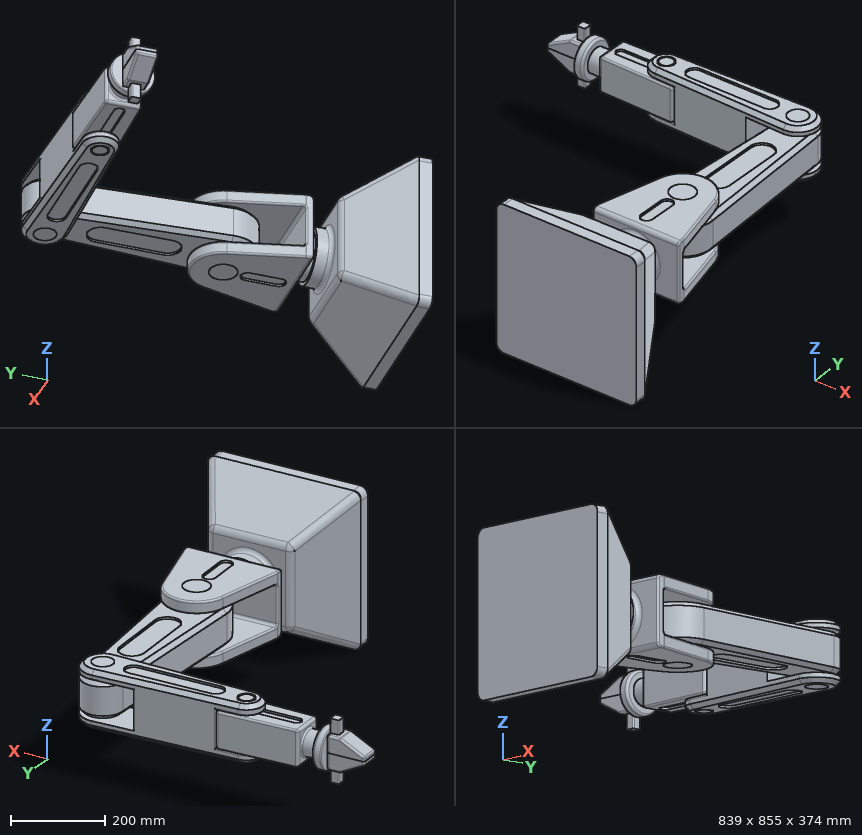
import cadquery as cq
import math


SHOULDER_Y = 404.0
ELBOW_Y = SHOULDER_Y + 400.0
WRIST_X = -350.5
WRIST_BACK_X = WRIST_X + 50.5
SHOULDER_R = 76.0
ELBOW_R = 855 - ELBOW_Y
WRIST_R = 40.0
SHOULDER_PIN_R = 31.0
ELBOW_PIN_R = 25.0
WRIST_PIN_R = 20.0
PIN_CHAMFER = 2.5
PANEL_DEPTH = 5.0

BASE_W = 374.0
PLATE_H = 30.0
CONE_TOP_W = 200.0
CONE_H = 150.5
BASE_FILLET = 20.0
COLLAR_R = 65.0
COLLAR_TOP_Y = 216.0
COLLAR_FILLET = 10.0

FORK_BOTTOM_Y = 240.0
FORK_HALF_W = 114.5
FORK_HALF_T = 79.5
FORK_GAP_HALF = 50.0
FORK_FLOOR = 19.0
FORK_FLOOR_FILLET = 7.0
FORK_BEND_R = 10.0
FORK_FILLET = 4.0
NECK_R = 56.0
NECK_FILLET = 10.0
FORK_PANEL_R = 15.0
FORK_PANEL_PITCH = 70.0
FORK_PANEL_DROP = 90.0

ARM_HALF_T = 44.5
ARM_CHAMFER = 10.0
ARM_PANEL_R = 30.0
ARM_PANEL_PITCH = 150.5

FOREARM_HALF_T = 69.0
ELBOW_GAP_HALF = 49.0
WRIST_GAP_FILLET = 4.0
FOREARM_CHAMFER = 10.0
ELBOW_WALL_X = -103.0
WRIST_WALL_X = WRIST_BACK_X
FOREARM_PANEL_R = 20.5
FOREARM_PANEL_PITCH = 200.0

WRIST_FRONT_X = WRIST_X - 150.0
WRIST_FRONT_HALF_W = 41.0
WRIST_BACK_HALF_W = 46.0
WRIST_END_FILLET = 7.0
WRIST_SIDE_FILLET = 4.0
WRIST_NECK_R = 31.0
WRIST_NECK_FILLET = 4.0
WRIST_PANEL_R = 12.0
WRIST_PANEL_START_X = WRIST_FRONT_X + 15.0

FLANGE_R = 50.5
FLANGE_T = 22.0
FLANGE_FACE_X = -560.0
FLANGE_FRONT_FILLET = 2.5
FLANGE_BACK_FILLET = 6.0

OVERALL_LENGTH_X = 839.0
TIP_X = BASE_W / 2 - OVERALL_LENGTH_X
TIP_HALF_H = 10.0
JAW_SHOULDER_X = -592.0
JAW_HALF_H = 41.0
JAW_W = 50.0
JAW_FILLET = 5.0
POST_W = 22.0
POST_TOP_Z = 75.0
POST_FILLET = 3.0

MARGIN = 1.0


def z_cylinder(x, y, radius, half_height):
    return cq.Workplane("XY").center(x, y).circle(radius).extrude(half_height, both=True)


def y_cylinder(radius, bottom, top):
    return cq.Workplane("XZ", origin=(0, bottom, 0)).circle(radius).extrude(bottom - top)


def x_cylinder(radius, start, end):
    return cq.Workplane("YZ", origin=(start, ELBOW_Y, 0)).circle(radius).extrude(end - start)


def box_between(x0, x1, y0, y1, half_height):
    return (
        cq.Workplane("XY")
        .center((x0 + x1) / 2, (y0 + y1) / 2)
        .rect(x1 - x0, y1 - y0)
        .extrude(half_height, both=True)
    )


def link(big_r, small_r, length, half_height):
    """Bar along +X: two round ends joined by their common tangents, big end at the origin."""
    lean = (big_r - small_r) / length
    rise = math.sqrt(1 - lean**2)
    profile = (
        cq.Workplane("XY")
        .moveTo(big_r * lean, big_r * rise)
        .threePointArc((-big_r, 0), (big_r * lean, -big_r * rise))
        .lineTo(length + small_r * lean, -small_r * rise)
        .threePointArc((length + small_r, 0), (length + small_r * lean, small_r * rise))
        .close()
    )
    return profile.extrude(half_height, both=True)


def cut_panels(body, x, y, pitch, radius, angle, half_height):
    """Cut a shallow round-ended recess into the +Z and -Z faces."""
    for z in (half_height, -half_height):
        recess = (
            cq.Workplane("XY", origin=(x, y, z))
            .slot2D(pitch + 2 * radius, 2 * radius, angle)
            .extrude(PANEL_DEPTH, both=True)
        )
        body = body.cut(recess)
    return body


def ring_at_y(radius, y):
    """Selector for the circular edge of a Y cylinder at height y."""
    reach = radius + MARGIN
    return cq.selectors.BoxSelector((-reach, y - MARGIN, -reach), (reach, y + MARGIN, reach))


def make_base():
    plate = cq.Workplane("XZ").rect(BASE_W, BASE_W).extrude(-PLATE_H).edges("|Y").fillet(BASE_FILLET)
    cone = (
        cq.Workplane("XZ", origin=(0, PLATE_H, 0))
        .rect(BASE_W, BASE_W)
        .workplane(offset=-CONE_H)
        .rect(CONE_TOP_W, CONE_TOP_W)
        .loft(ruled=True)
        .edges("not <Y")
        .fillet(BASE_FILLET)
    )
    cone_top = PLATE_H + CONE_H
    collar = y_cylinder(COLLAR_R, cone_top, COLLAR_TOP_Y)
    base = plate.union(cone).union(collar)
    return base.edges(ring_at_y(COLLAR_R, cone_top)).fillet(COLLAR_FILLET)


def make_fork():
    floor_top = FORK_BOTTOM_Y + FORK_FLOOR
    drop = SHOULDER_Y - floor_top
    reach = math.hypot(FORK_HALF_W, drop)
    tangent_angle = math.acos(SHOULDER_R / reach) - math.atan2(drop, FORK_HALF_W)
    tangent_x = SHOULDER_R * math.cos(tangent_angle)
    tangent_y = SHOULDER_Y + SHOULDER_R * math.sin(tangent_angle)
    fork = (
        cq.Workplane("XY")
        .moveTo(-FORK_HALF_W, FORK_BOTTOM_Y)
        .lineTo(FORK_HALF_W, FORK_BOTTOM_Y)
        .lineTo(FORK_HALF_W, floor_top)
        .lineTo(tangent_x, tangent_y)
        .threePointArc((0, SHOULDER_Y + SHOULDER_R), (-tangent_x, tangent_y))
        .lineTo(-FORK_HALF_W, floor_top)
        .close()
        .extrude(FORK_HALF_T, both=True)
        .edges("<Y and |X")
        .fillet(FORK_BEND_R)
    )
    gap_top = SHOULDER_Y + 2 * SHOULDER_R
    gap = (
        box_between(-FORK_HALF_W, FORK_HALF_W, floor_top, gap_top, FORK_GAP_HALF)
        .edges("<Y and |X")
        .fillet(FORK_FLOOR_FILLET)
    )
    floor_sides = cq.selectors.BoxSelector(
        (-FORK_HALF_W - MARGIN, FORK_BOTTOM_Y - MARGIN, -FORK_HALF_T),
        (FORK_HALF_W + MARGIN, floor_top + MARGIN, FORK_HALF_T),
    )
    arm_outlines = cq.selectors.StringSyntaxSelector("not |Z")
    fork = fork.cut(gap).edges("not |X").edges(floor_sides + arm_outlines).fillet(FORK_FILLET)
    fork = fork.union(y_cylinder(NECK_R, COLLAR_TOP_Y, FORK_BOTTOM_Y))
    fork = fork.edges(ring_at_y(NECK_R, FORK_BOTTOM_Y)).fillet(NECK_FILLET)
    fork = fork.cut(z_cylinder(0, SHOULDER_Y, SHOULDER_PIN_R, FORK_HALF_T))
    panel_y = SHOULDER_Y - FORK_PANEL_DROP
    return cut_panels(fork, 0, panel_y, FORK_PANEL_PITCH, FORK_PANEL_R, 90, FORK_HALF_T)


def make_upper_arm():
    arm = (
        link(SHOULDER_R, ELBOW_R, ELBOW_Y - SHOULDER_Y, ARM_HALF_T)
        .faces("<Z or >Z")
        .edges()
        .chamfer(ARM_CHAMFER)
        .rotate((0, 0, 0), (0, 0, 1), 90)
        .translate((0, SHOULDER_Y, 0))
    )
    arm = cut_panels(arm, 0, (SHOULDER_Y + ELBOW_Y) / 2, ARM_PANEL_PITCH, ARM_PANEL_R, 90, ARM_HALF_T)
    shoulder_pin = z_cylinder(0, SHOULDER_Y, SHOULDER_PIN_R, FORK_HALF_T)
    elbow_pin = z_cylinder(0, ELBOW_Y, ELBOW_PIN_R, FOREARM_HALF_T)
    return arm.union(shoulder_pin).union(elbow_pin)


def make_forearm():
    forearm = (
        link(ELBOW_R, WRIST_R, -WRIST_X, FOREARM_HALF_T)
        .faces("<Z or >Z")
        .edges()
        .chamfer(FOREARM_CHAMFER)
        .rotate((0, 0, 0), (0, 0, 1), 180)
        .translate((0, ELBOW_Y, 0))
    )
    low_y = ELBOW_Y - ELBOW_R
    high_y = ELBOW_Y + ELBOW_R
    elbow_gap = box_between(ELBOW_WALL_X, ELBOW_R, low_y, high_y, ELBOW_GAP_HALF)
    wrist_gap = box_between(WRIST_X - WRIST_R, WRIST_WALL_X, low_y, high_y, ARM_HALF_T)
    forearm = forearm.cut(elbow_gap).cut(wrist_gap)
    wrist_gap_rim = cq.selectors.BoxSelector(
        (WRIST_X - 2 * WRIST_R, low_y, -ARM_HALF_T - MARGIN),
        (WRIST_WALL_X + MARGIN, high_y, ARM_HALF_T + MARGIN),
    )
    forearm = forearm.edges(wrist_gap_rim).edges("not |Y").fillet(WRIST_GAP_FILLET)
    elbow_hole = z_cylinder(0, ELBOW_Y, ELBOW_PIN_R, FOREARM_HALF_T)
    wrist_hole = z_cylinder(WRIST_X, ELBOW_Y, WRIST_PIN_R, FOREARM_HALF_T)
    forearm = forearm.cut(elbow_hole).cut(wrist_hole)
    return cut_panels(
        forearm, WRIST_X / 2, ELBOW_Y, FOREARM_PANEL_PITCH, FOREARM_PANEL_R, 0, FOREARM_HALF_T
    )


def make_wrist():
    block = (
        cq.Workplane("XY")
        .polyline([
            (WRIST_FRONT_X, ELBOW_Y - WRIST_FRONT_HALF_W),
            (WRIST_BACK_X, ELBOW_Y - WRIST_BACK_HALF_W),
            (WRIST_BACK_X, ELBOW_Y + WRIST_BACK_HALF_W),
            (WRIST_FRONT_X, ELBOW_Y + WRIST_FRONT_HALF_W),
        ])
        .close()
        .extrude(ARM_HALF_T, both=True)
        .edges("not (<X or >X)")
        .fillet(WRIST_SIDE_FILLET)
        .faces("<X or >X")
        .edges()
        .fillet(WRIST_END_FILLET)
    )
    neck = x_cylinder(WRIST_NECK_R, WRIST_FRONT_X, FLANGE_FACE_X + FLANGE_T)
    reach = WRIST_NECK_R + MARGIN
    neck_root = cq.selectors.BoxSelector(
        (WRIST_FRONT_X - MARGIN, ELBOW_Y - reach, -reach),
        (WRIST_FRONT_X + MARGIN, ELBOW_Y + reach, reach),
    )
    wrist = block.union(neck)
    wrist = wrist.edges("%CIRCLE and (not <X)").edges(neck_root).fillet(WRIST_NECK_FILLET)
    panel_start = WRIST_PANEL_START_X + WRIST_PANEL_R
    panel_pitch = WRIST_X - panel_start
    panel_x = (panel_start + WRIST_X) / 2
    wrist = cut_panels(wrist, panel_x, ELBOW_Y, panel_pitch, WRIST_PANEL_R, 0, ARM_HALF_T)
    pin = z_cylinder(WRIST_X, ELBOW_Y, WRIST_PIN_R, FOREARM_HALF_T).faces("<Z or >Z").chamfer(PIN_CHAMFER)
    return wrist.union(pin)


def make_flange():
    disc = x_cylinder(FLANGE_R, FLANGE_FACE_X, FLANGE_FACE_X + FLANGE_T)
    return disc.edges("<X").fillet(FLANGE_FRONT_FILLET).edges(">X").fillet(FLANGE_BACK_FILLET)


def make_jaw(side):
    """One half of the gripper; side is +1 for the jaw above Z = 0 and -1 for the one below."""
    jaw = (
        cq.Workplane("XZ", origin=(0, ELBOW_Y, 0))
        .moveTo(TIP_X, 0)
        .lineTo(TIP_X, TIP_HALF_H)
        .lineTo(JAW_SHOULDER_X, JAW_HALF_H)
        .lineTo(FLANGE_FACE_X, JAW_HALF_H)
        .lineTo(FLANGE_FACE_X, 0)
        .close()
        .extrude(JAW_W / 2, both=True)
        .edges("not <Z")
        .fillet(JAW_FILLET)
    )
    post_root_z = JAW_HALF_H / 2
    post = (
        cq.Workplane("XY", origin=(FLANGE_FACE_X - POST_W / 2, ELBOW_Y, post_root_z))
        .rect(POST_W, POST_W)
        .extrude(POST_TOP_Z - post_root_z)
        .edges("|Z")
        .fillet(POST_FILLET)
    )
    jaw = jaw.union(post)
    return jaw if side > 0 else jaw.mirror("XY")


bodies = [make_base(), make_fork(), make_upper_arm(), make_forearm(), make_wrist(), make_flange()]
for side in (1, -1):
    bodies.append(make_jaw(side))

result = cq.Compound.makeCompound([body.val() for body in bodies])